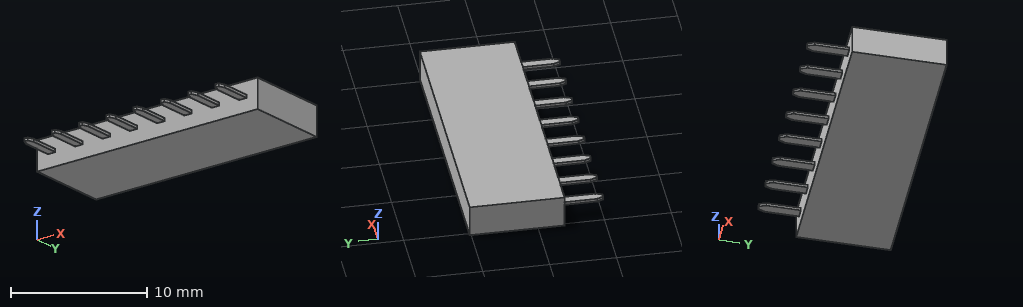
import cadquery as cq

housing_length = 20.52
housing_depth = 7.1
housing_height = 2.5

pin_count = 8
end_margin = 1.37
pin_pitch = (housing_length - 2 * end_margin) / (pin_count - 1)
overall_depth = 10.2
pin_length = overall_depth - housing_depth
pin_width = 0.7
pin_thickness = 0.25

tip_length = 0.5
tip_width = 0.3


def make_pin(center_x):
    """Flat pin pointing along -Y, with its root on the housing face at Y = 0."""
    half_width = pin_width / 2
    half_tip = tip_width / 2
    shoulder_y = tip_length - pin_length
    outline = [
        (center_x - half_width, 0),
        (center_x - half_width, shoulder_y),
        (center_x - half_tip, -pin_length),
        (center_x + half_tip, -pin_length),
        (center_x + half_width, shoulder_y),
        (center_x + half_width, 0),
    ]
    return (
        cq.Workplane("XY")
        .polyline(outline)
        .close()
        .extrude(pin_thickness / 2, both=True)
    )


result = cq.Workplane("XY").box(
    housing_length, housing_depth, housing_height, centered=(True, False, True)
)

first_pin_x = end_margin - housing_length / 2
for index in range(pin_count):
    result = result.union(make_pin(first_pin_x + index * pin_pitch))